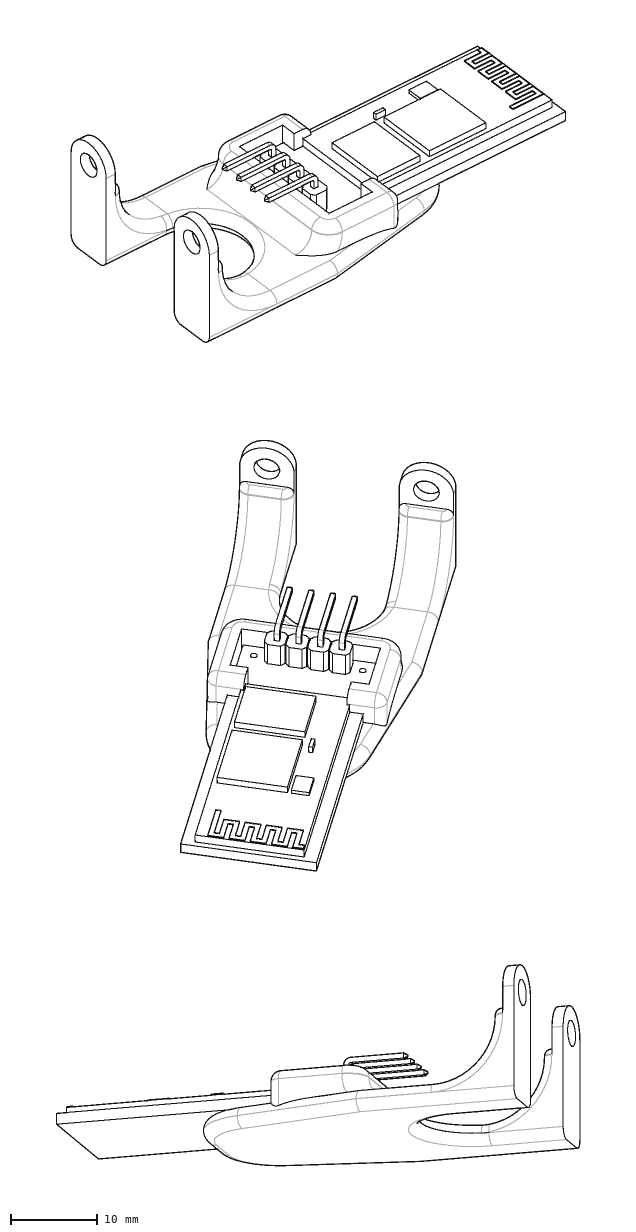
import cadquery as cq
import math


overall_length = 57.15
plate_half_width = 12.7
plate_thickness = 2.5
taper_start_y = 19.2
nose_y = 40.7
nose_half_width = 8.6
nose_corner_radius = 7.5
edge_flat = 0.01
edge_round = (plate_thickness - edge_flat) / 2

arm_width = 6.45
slot_radius = plate_half_width - arm_width
slot_center_y = 9.05
arm_bend_radius = 7.5
arm_thickness = 2.65
arm_bend_start_y = arm_thickness + arm_bend_radius
arm_bend_center_z = plate_thickness + arm_bend_radius
arm_height = 10.9
arm_top_round = 0.8
lug_thickness = 1.4
lug_height = 16.5
lug_radius = arm_width / 2
lug_center_x = plate_half_width - lug_radius
lug_center_z = lug_height - lug_radius
lug_hole_diameter = 3.05

housing_half_width = 10.65
housing_front_y = 19.1
housing_back_y = 30.6
housing_top_z = 6.3
housing_edge_round = 1.25
housing_front_round = 2.5
housing_foot_radius = 2.45
housing_foot_y = housing_front_y - housing_foot_radius
pocket_half_width = 8.25
pocket_front_y = housing_front_y + housing_front_round
pocket_back_y = 28.05
notch_half_width = 6.1

base_half_width = 8.05
base_top_z = 3.85
carrier_half_width = 6.45
carrier_front_y = 29.4
carrier_back_y = 56.45
carrier_top_z = 4.9
board_hole_diameter = 0.75
board_hole_x = 6.45
board_hole_y = 23.15
chip_top_z = 5.8
chip_min_x = -2.5
chip_max_x = 5.85
large_chip_front_y = 38.6
large_chip_back_y = 47.05
small_chip_front_y = 30.8
small_chip_back_y = 37.15
crystal_min_x = -5.1
crystal_max_x = -3.0
crystal_front_y = 44.4
crystal_top_z = 5.4
resistor_min_x = -3.95
resistor_max_x = -3.5
resistor_front_y = 38.2
resistor_back_y = 39.6

trace_width = 0.65
trace_height = 0.1
trace_pitch = 1.25
trace_strokes = 9
trace_first_x = -5.4
trace_start_x = -6.35
trace_top_y = 56.35
trace_bottom_y = 53.2
trace_end_y = 51.8

header_pitch = 2.6
header_width = 2.45
header_pins = 4
header_depth = 2.45
header_front_y = 21.8
header_top_z = 6.8
header_chamfer = 0.45
pin_width = 0.65
pin_offset_x = -0.2
pin_back_y = 23.4
pin_top_z = 8.7
pin_bend_radius = 0.85
pin_tip_y = 15.65
pin_tip_length = 0.4
pin_tip_width = 0.2

tolerance = 0.005
cut_margin = 0.6


def block(x0, x1, y0, y1, z0, z1):
    """Box given by its limits along each axis."""
    return cq.Workplane("XY").box(x1 - x0, y1 - y0, z1 - z0, centered=False).translate((x0, y0, z0))


def centered_block(half_width, y0, y1, z0, z1):
    """Box symmetric about x = 0."""
    return block(-half_width, half_width, y0, y1, z0, z1)


def plate_blank():
    """Tapered plate with rounded nose corners, before the slot is cut."""
    outline = [
        (-plate_half_width, 0),
        (plate_half_width, 0),
        (plate_half_width, taper_start_y),
        (nose_half_width, nose_y),
        (-nose_half_width, nose_y),
        (-plate_half_width, taper_start_y),
    ]
    plate = cq.Workplane("XY").polyline(outline).close().extrude(plate_thickness)
    return plate.edges("|Z and >Y").fillet(nose_corner_radius)


def arm_upright():
    """Full-width upright that sweeps up from the plate to the lugs."""
    bend_mid = arm_bend_radius * math.sqrt(0.5)
    profile = (
        cq.Workplane("YZ")
        .moveTo(0, 0)
        .lineTo(arm_bend_start_y, 0)
        .lineTo(arm_bend_start_y, plate_thickness)
        .threePointArc(
            (arm_bend_start_y - bend_mid, arm_bend_center_z - bend_mid),
            (arm_thickness, arm_bend_center_z),
        )
        .lineTo(arm_thickness, arm_height)
        .lineTo(0, arm_height)
        .close()
    )
    return profile.extrude(plate_half_width, both=True)


def slot_cutter():
    """Round-ended opening between the two arms."""
    straight = centered_block(slot_radius, -cut_margin, slot_center_y, -cut_margin, arm_height)
    round_end = (
        cq.Workplane("XY", origin=(0, slot_center_y, -cut_margin))
        .circle(slot_radius)
        .extrude(arm_height + cut_margin)
    )
    return straight.union(round_end)


def needs_round(edge):
    """True for the long outer edges; the arm tops, lug ends and bend tangent lines are left out."""
    box = edge.BoundingBox()
    if box.ymax < tolerance or box.zmin > arm_height - tolerance:
        return False
    runs_across = box.ymax - box.ymin < tolerance and box.xmax - box.xmin > tolerance
    on_bend_tangent = runs_across and (
        abs(box.ymin - arm_bend_start_y) < tolerance or abs(box.zmin - arm_bend_center_z) < tolerance
    )
    on_underside = box.zmax < tolerance
    on_upper_side = box.zmin > plate_thickness - tolerance
    return (on_underside or on_upper_side) and not on_bend_tangent


def rounded_frame():
    """Plate and arms, rounded along their upper and lower edges and around the arm tops."""
    frame = plate_blank().union(arm_upright()).cut(slot_cutter())
    long_edges = [edge for edge in frame.edges().vals() if needs_round(edge)]
    frame = frame.newObject(long_edges).fillet(edge_round)
    top_rims = frame.faces(">Z").edges("not(<Y)")
    return top_rims.fillet(arm_top_round)


def lug(side):
    """Flat lug with a round top and a cross hole; side is -1 or 1."""
    x = side * lug_center_x
    plate = block(x - lug_radius, x + lug_radius, 0, lug_thickness, 0, lug_center_z)
    plate = plate.edges("|Y and <Z").fillet(edge_round)
    face = cq.Workplane("XZ").center(x, lug_center_z)
    top = face.circle(lug_radius).extrude(-lug_thickness)
    hole = face.circle(lug_hole_diameter / 2).extrude(-lug_thickness)
    return plate.union(top).cut(hole)


def is_front_corner(edge):
    """True for the side edges of the housing front, both the upright part and the foot curve."""
    box = edge.BoundingBox()
    at_side = box.xmax - box.xmin < tolerance
    on_front = box.ymin > housing_foot_y - tolerance and box.ymax < housing_front_y + tolerance
    above_plate = box.zmin > plate_thickness - tolerance
    return at_side and on_front and above_plate


def housing():
    """Raised housing with a flared foot at the front and rounded corners, cut off inside the plate."""
    shoulder_z = plate_thickness + housing_foot_radius
    foot_mid = housing_foot_radius * math.sqrt(0.5)
    stem_bottom_z = -2 * housing_front_round
    profile = (
        cq.Workplane("YZ")
        .moveTo(housing_back_y, stem_bottom_z)
        .lineTo(housing_back_y, housing_top_z)
        .lineTo(housing_front_y, housing_top_z)
        .lineTo(housing_front_y, shoulder_z)
        .threePointArc(
            (housing_foot_y + foot_mid, shoulder_z - foot_mid),
            (housing_foot_y, plate_thickness),
        )
        .lineTo(housing_foot_y, stem_bottom_z)
        .close()
    )
    body = profile.extrude(housing_half_width, both=True)
    body = body.edges("|Z and >Y").fillet(housing_edge_round)
    front_corners = [edge for edge in body.edges().vals() if is_front_corner(edge)]
    body = body.newObject(front_corners).fillet(housing_front_round)
    body = body.faces(">Z").edges().fillet(housing_edge_round)
    keep = centered_block(plate_half_width, 0, overall_length, plate_thickness / 2, housing_top_z)
    return body.intersect(keep)


def module_recess():
    """Space inside the housing: the open pocket, the notch in the back wall and the seats of the boards."""
    above = housing_top_z + cut_margin
    pocket = centered_block(pocket_half_width, pocket_front_y, pocket_back_y, plate_thickness, above)
    notch = centered_block(notch_half_width, pocket_back_y, housing_back_y, base_top_z, above)
    base_seat = centered_block(base_half_width, pocket_back_y, overall_length, plate_thickness, base_top_z)
    carrier_seat = centered_block(carrier_half_width, carrier_front_y, carrier_back_y, base_top_z, carrier_top_z)
    return pocket.union(notch).union(base_seat).union(carrier_seat)


def bracket():
    """Frame, lugs and housing as one solid."""
    body = rounded_frame().union(housing())
    for side in (-1, 1):
        body = body.union(lug(side))
    return body.cut(module_recess())


def boards():
    """Base board with two small holes, and the carrier board on top of it."""
    base = centered_block(base_half_width, pocket_front_y, overall_length, plate_thickness, base_top_z)
    holes = (
        cq.Workplane("XY", origin=(0, 0, plate_thickness))
        .pushPoints([(-board_hole_x, board_hole_y), (board_hole_x, board_hole_y)])
        .circle(board_hole_diameter / 2)
        .extrude(base_top_z - plate_thickness)
    )
    carrier = centered_block(carrier_half_width, carrier_front_y, carrier_back_y, base_top_z, carrier_top_z)
    return base.cut(holes).union(carrier)


def components():
    """Chips and small parts standing on the carrier board."""
    z = carrier_top_z
    large_chip = block(chip_min_x, chip_max_x, large_chip_front_y, large_chip_back_y, z, chip_top_z)
    small_chip = block(chip_min_x, chip_max_x, small_chip_front_y, small_chip_back_y, z, chip_top_z)
    crystal = block(crystal_min_x, crystal_max_x, crystal_front_y, large_chip_back_y, z, crystal_top_z)
    resistor = block(resistor_min_x, resistor_max_x, resistor_front_y, resistor_back_y, z, chip_top_z)
    return [large_chip, small_chip, crystal, resistor]


def antenna():
    """Meandering raised trace: parallel strokes joined alternately at the bottom and the top."""
    z0 = carrier_top_z
    z1 = carrier_top_z + trace_height
    half = trace_width / 2
    first_right = trace_first_x + half
    trace = block(trace_start_x, first_right, trace_top_y - trace_width, trace_top_y, z0, z1)
    for i in range(trace_strokes):
        x = trace_first_x + i * trace_pitch
        is_last = i == trace_strokes - 1
        bottom_y = trace_end_y if is_last else trace_bottom_y
        trace = trace.union(block(x - half, x + half, bottom_y, trace_top_y, z0, z1))
        if not is_last:
            link_y = trace_bottom_y if i % 2 == 0 else trace_top_y - trace_width
            link = block(x - half, x + trace_pitch + half, link_y, link_y + trace_width, z0, z1)
            trace = trace.union(link)
    return trace


def header_block(x):
    """Chamfered insulator of one pin."""
    half = header_width / 2
    body = block(x - half, x + half, header_front_y, header_front_y + header_depth, base_top_z, header_top_z)
    return body.edges("|Z").chamfer(header_chamfer)


def header_pin(x):
    """Square pin that rises from its insulator, bends forward and ends in a tapered tip."""
    tip_base_y = pin_tip_y + pin_tip_length
    under_z = pin_top_z - pin_width
    front_y = pin_back_y - pin_width
    rising = block(x - pin_width / 2, x + pin_width / 2, front_y, pin_back_y, base_top_z, pin_top_z)
    level = block(x - pin_width / 2, x + pin_width / 2, tip_base_y, pin_back_y, under_z, pin_top_z)
    bend_edge = cq.selectors.NearestToPointSelector((x, pin_back_y, pin_top_z))
    pin = rising.union(level).edges("|X").edges(bend_edge).fillet(pin_bend_radius)
    inner_edge = cq.selectors.NearestToPointSelector((x, front_y, under_z))
    pin = pin.edges("|X").edges(inner_edge).fillet(pin_bend_radius - pin_width)
    tip = (
        cq.Workplane("XZ", origin=(x, tip_base_y, pin_top_z - pin_width / 2))
        .rect(pin_width, pin_width)
        .workplane(offset=pin_tip_length)
        .rect(pin_tip_width, pin_tip_width)
        .loft()
    )
    return pin.union(tip)


def module():
    """Boards, components, antenna and pin header as one solid."""
    body = boards().union(antenna())
    for component in components():
        body = body.union(component)
    for i in range(header_pins):
        x = (i - (header_pins - 1) / 2) * header_pitch
        body = body.union(header_block(x))
        body = body.union(header_pin(x + pin_offset_x))
    return body


bracket_body = bracket()
module_body = module()
result = cq.Compound.makeCompound([bracket_body.val(), module_body.val()])